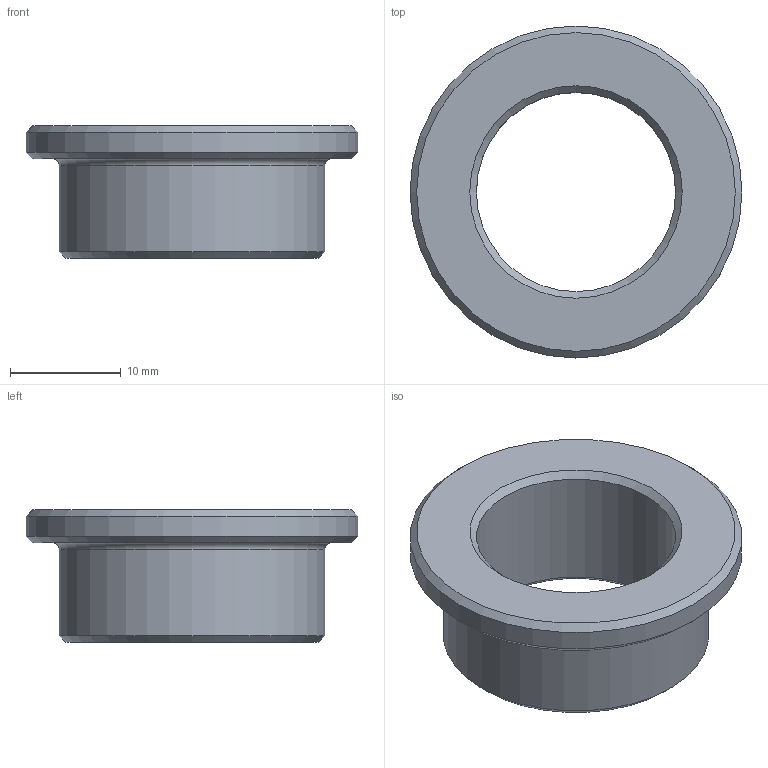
import cadquery as cq

flange_diameter = 30.0
sleeve_diameter = 24.0
bore_diameter = 18.0
total_height = 12.0
flange_thickness = 3.0

edge_chamfer = 0.6
neck_fillet = 0.6

flange_radius = flange_diameter / 2
sleeve_radius = sleeve_diameter / 2
bore_radius = bore_diameter / 2
flange_bottom = total_height - flange_thickness


def half_section():
    """Radial section in the XZ plane, from the bore to the flange rim."""
    return (
        cq.Workplane("XZ")
        .moveTo(bore_radius + edge_chamfer, 0)
        .lineTo(sleeve_radius - edge_chamfer, 0)
        .lineTo(sleeve_radius, edge_chamfer)
        .lineTo(sleeve_radius, flange_bottom - neck_fillet)
        .radiusArc((sleeve_radius + neck_fillet, flange_bottom), neck_fillet)
        .lineTo(flange_radius - edge_chamfer, flange_bottom)
        .lineTo(flange_radius, flange_bottom + edge_chamfer)
        .lineTo(flange_radius, total_height - edge_chamfer)
        .lineTo(flange_radius - edge_chamfer, total_height)
        .lineTo(bore_radius + edge_chamfer, total_height)
        .lineTo(bore_radius, total_height - edge_chamfer)
        .lineTo(bore_radius, edge_chamfer)
        .close()
    )


result = half_section().revolve(360, (0, 0, 0), (0, 1, 0))